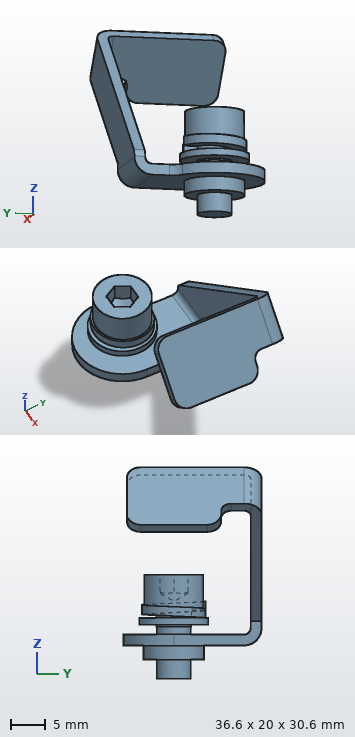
import cadquery as cq
import math

SHEET = 1.6
BEND_INNER = 0.95
BEND_OUTER = BEND_INNER + SHEET
DISC_RADIUS = 7.3
FOOT_LEFT = -3.55
FOOT_RIGHT = DISC_RADIUS
NECK_FILLET = 2.2
BACK_Y = 12.7

ARM_ANGLE = 41.3
ARM_WIDTH = 7.0
ARM_LENGTH = 25.77
ARM_START_Z = 3.5
HEEL_FILLET = 1.45

FLANGE_END_Y = -6.77
LUG_DROP = 4.05
LUG_START_Y = 6.85
FLANGE_CORNER = 2.0
LUG_INNER_FILLET = 1.45

SCREW_RADIUS = 2.5
SHANK_RADIUS = 2.55
SCREW_BOTTOM = -4.8
SHANK_BOTTOM = 2.75
HEAD_RADIUS = 4.3
HEAD_BOTTOM = 5.2
HEAD_TOP = 10.25
HEX_FLATS = 4.0
HEX_DEPTH = 2.5
HEX_CONE_ANGLE = 120
NUT_RADIUS = 4.4
NUT_HEIGHT = 2.0
WASHER_RADIUS = 5.0
WASHER_BOTTOM = 3.0
WASHER_THICKNESS = 1.0
SPRING_RADIUS = 4.6
SPRING_THICKNESS = 1.35
SPRING_RISE = 1.1
SPRING_OVERLAP = 0.35


def cylinder(radius, bottom, top):
    return cq.Workplane("XY").workplane(offset=bottom).circle(radius).extrude(top - bottom)


def bend(workplane, length):
    """Quarter ring of sheet centred on the local origin, in the upper right quadrant."""
    return (
        workplane.moveTo(BEND_INNER, 0)
        .lineTo(BEND_OUTER, 0)
        .radiusArc((0, BEND_OUTER), -BEND_OUTER)
        .lineTo(0, BEND_INNER)
        .radiusArc((BEND_INNER, 0), BEND_INNER)
        .close()
        .extrude(length)
    )


def foot():
    """Round foot whose neck runs back to the lower bend."""
    fillet_x = FOOT_LEFT - NECK_FILLET
    fillet_distance = DISC_RADIUS + NECK_FILLET
    fillet_y = math.sqrt(fillet_distance**2 - fillet_x**2)
    on_disc = DISC_RADIUS / fillet_distance
    neck_end = BACK_Y - BEND_OUTER
    return (
        cq.Workplane("XY")
        .moveTo(FOOT_RIGHT, 0)
        .lineTo(FOOT_RIGHT, neck_end)
        .lineTo(FOOT_LEFT, neck_end)
        .lineTo(FOOT_LEFT, fillet_y)
        .radiusArc((fillet_x * on_disc, fillet_y * on_disc), NECK_FILLET)
        .threePointArc((0, -DISC_RADIUS), (FOOT_RIGHT, 0))
        .close()
        .extrude(SHEET)
    )


def lower_bend():
    plane = cq.Plane(
        origin=(FOOT_LEFT, BACK_Y - BEND_OUTER, BEND_OUTER), xDir=(0, 0, -1), normal=(1, 0, 0)
    )
    return bend(cq.Workplane(plane), FOOT_RIGHT - FOOT_LEFT)


def arm():
    """Flat arm from the lower bend to the start of the flange bend."""
    angle = math.radians(ARM_ANGLE)
    cos_a = math.cos(angle)
    sin_a = math.sin(angle)
    length = ARM_LENGTH - BEND_OUTER
    tip_low = (FOOT_RIGHT + length * cos_a, ARM_START_Z + length * sin_a)
    tip_high = (tip_low[0] - ARM_WIDTH * sin_a, tip_low[1] + ARM_WIDTH * cos_a)
    heel_z = tip_high[1] - (tip_high[0] - FOOT_LEFT) * math.tan(angle)
    outline = [
        (FOOT_LEFT, BEND_OUTER),
        (FOOT_RIGHT, BEND_OUTER),
        (FOOT_RIGHT, ARM_START_Z),
        tip_low,
        tip_high,
        (FOOT_LEFT, heel_z),
    ]
    return (
        cq.Workplane("XZ", origin=(0, BACK_Y, 0))
        .polyline(outline)
        .close()
        .extrude(SHEET)
        .edges(cq.selectors.NearestToPointSelector((FOOT_LEFT, BACK_Y - SHEET / 2, heel_z)))
        .fillet(HEEL_FILLET)
    )


def flange():
    """Flange and its bend, built on a level arm along X and then tilted about Y."""
    bend_y = BACK_Y - BEND_OUTER
    upper_bend = bend(
        cq.Workplane("XY", origin=(ARM_LENGTH - BEND_OUTER, bend_y, 0)), ARM_WIDTH
    )
    blade = (
        cq.Workplane("YZ", origin=(ARM_LENGTH - SHEET, 0, 0))
        .moveTo(bend_y, 0)
        .lineTo(bend_y, ARM_WIDTH)
        .lineTo(FLANGE_END_Y, ARM_WIDTH)
        .lineTo(FLANGE_END_Y, -LUG_DROP)
        .lineTo(LUG_START_Y, -LUG_DROP)
        .lineTo(LUG_START_Y, 0)
        .close()
        .extrude(SHEET)
    )
    lug_root = cq.selectors.NearestToPointSelector((ARM_LENGTH - SHEET / 2, LUG_START_Y, 0))
    lug_tip = cq.selectors.NearestToPointSelector((ARM_LENGTH - SHEET / 2, LUG_START_Y, -LUG_DROP))
    blade = blade.edges("|X and <Y").fillet(FLANGE_CORNER)
    blade = blade.edges(lug_tip).fillet(FLANGE_CORNER)
    blade = blade.edges(lug_root).fillet(LUG_INNER_FILLET)
    return (
        upper_bend.union(blade)
        .rotate((0, 0, 0), (0, 1, 0), -ARM_ANGLE)
        .translate((FOOT_RIGHT, 0, ARM_START_Z))
    )


def spring_washer():
    """One left-hand turn of rectangular wire split on the +Y side, merging into the shank."""
    bottom = WASHER_BOTTOM + WASHER_THICKNESS
    inner_radius = SHANK_RADIUS - SPRING_OVERLAP
    wire_width = SPRING_RADIUS - inner_radius
    mean_radius = inner_radius + wire_width / 2
    helix = cq.Wire.makeHelix(SPRING_RISE, SPRING_RISE, mean_radius, lefthand=True)
    return (
        cq.Workplane("XZ", origin=(mean_radius, 0, 0))
        .rect(wire_width, SPRING_THICKNESS)
        .sweep(cq.Workplane(helix), isFrenet=True)
        .rotate((0, 0, 0), (0, 0, 1), 90)
        .translate((0, 0, bottom + SPRING_THICKNESS / 2))
    )


def hex_socket():
    """Hexagonal socket with a drilled conical bottom."""
    corner_radius = HEX_FLATS / math.sqrt(3)
    cone_depth = corner_radius / math.tan(math.radians(HEX_CONE_ANGLE / 2))
    floor = HEAD_TOP - HEX_DEPTH
    prism = (
        cq.Workplane("XY").workplane(offset=floor - cone_depth)
        .polygon(6, 2 * corner_radius)
        .extrude(HEX_DEPTH + cone_depth)
    )
    cone = cq.Workplane(
        cq.Solid.makeCone(0, corner_radius, cone_depth, pnt=cq.Vector(0, 0, floor - cone_depth))
    )
    return prism.intersect(cone.union(cylinder(HEAD_RADIUS, floor, HEAD_TOP)))


bracket = foot().union(lower_bend()).union(arm()).union(flange())
fastener = (
    cylinder(SCREW_RADIUS, SCREW_BOTTOM, HEAD_BOTTOM)
    .union(cylinder(SHANK_RADIUS, SHANK_BOTTOM, HEAD_BOTTOM))
    .union(cylinder(HEAD_RADIUS, HEAD_BOTTOM, HEAD_TOP))
    .union(cylinder(NUT_RADIUS, -NUT_HEIGHT, 0))
    .union(cylinder(WASHER_RADIUS, WASHER_BOTTOM, WASHER_BOTTOM + WASHER_THICKNESS))
    .union(spring_washer())
    .cut(hex_socket())
)
result = bracket.union(fastener)